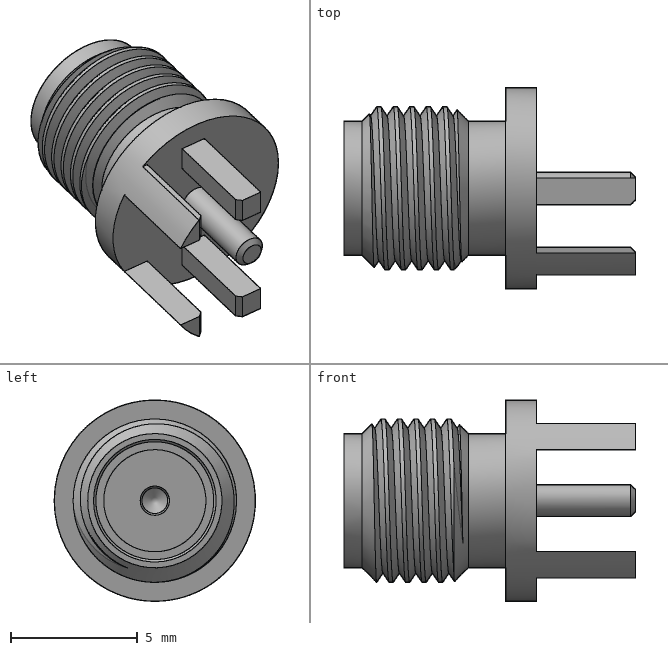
import cadquery as cq
import math


thread_start = 0.71
thread_end = 4.91
flange_front = 6.37
flange_back = 7.6
length = 11.5

sleeve_radius = 2.65
crest_radius = 3.22
flange_radius = 3.97
end_taper = crest_radius - sleeve_radius

pitch = 0.65
crest_flat = 0.16
root_radius = 2.86
cutter_overlap = 0.06
groove_start = 0.891
groove_turns = 6

bore_radius = 2.32
bore_depth = 1.98
mouth_chamfer = 0.09
insulator_radius = 2.01
insulator_recess = 0.07
contact_radius = 0.51
contact_chamfer = 0.07
contact_depth = 2.0
drill_half_angle = math.radians(59)

pin_radius = 0.63
tip_chamfer = 0.2
leg_inner_z = 2.0
leg_outer_z = 3.05
front_leg_inner_y = -2.32
rear_leg_inner_y = -0.65
rear_leg_outer_y = 0.41


def revolve_profile(points):
    """Revolve (x, radius) points about the X axis."""
    return cq.Workplane("XY").polyline(points).close().revolve(360, (0, 0, 0), (1, 0, 0))


def make_body():
    return revolve_profile([
        (0, 0),
        (0, sleeve_radius),
        (thread_start, sleeve_radius),
        (thread_start + end_taper, crest_radius),
        (thread_end - end_taper, crest_radius),
        (thread_end, sleeve_radius),
        (flange_front, sleeve_radius),
        (flange_front, flange_radius),
        (flange_back, flange_radius),
        (flange_back, 0),
    ])


def make_groove_turn():
    """Sweep a V along one turn of the thread helix."""
    half_width = (pitch - crest_flat) / 2
    slope = half_width / (crest_radius - root_radius)
    outer_radius = crest_radius + cutter_overlap
    outer_half_width = half_width + slope * cutter_overlap
    helix = cq.Wire.makeHelix(pitch, pitch, root_radius)
    groove = (
        cq.Workplane("XZ")
        .polyline([
            (root_radius, 0),
            (outer_radius, outer_half_width),
            (outer_radius, -outer_half_width),
        ])
        .close()
        .sweep(cq.Workplane(helix), isFrenet=True)
    )
    return groove.rotate((0, 0, 0), (0, 1, 0), 90).translate((groove_start, 0, 0))


def make_socket():
    """Bore with a stepped floor and a drilled centre contact."""
    floor = bore_depth + insulator_recess
    contact_bottom = floor + contact_depth
    drill_tip = contact_bottom + contact_radius / math.tan(drill_half_angle)
    return revolve_profile([
        (0, 0),
        (0, bore_radius + mouth_chamfer),
        (mouth_chamfer, bore_radius),
        (bore_depth, bore_radius),
        (bore_depth, insulator_radius),
        (floor, insulator_radius),
        (floor, contact_radius + contact_chamfer),
        (floor + contact_chamfer, contact_radius),
        (contact_bottom, contact_radius),
        (drill_tip, 0),
    ])


def make_pin():
    return revolve_profile([
        (flange_front, 0),
        (flange_front, pin_radius),
        (length - tip_chamfer, pin_radius),
        (length, pin_radius - tip_chamfer),
        (length, 0),
    ])


def make_leg_pair(outline):
    """Extrude an (x, y) outline into matching legs above and below the axis."""
    upper = (
        cq.Workplane("XY", origin=(0, 0, leg_inner_z))
        .polyline(outline)
        .close()
        .extrude(leg_outer_z - leg_inner_z)
    )
    return upper.union(upper.mirror("XY"))


def make_front_legs():
    """Legs whose outer faces follow the flange rim."""
    legs = make_leg_pair([
        (flange_front, front_leg_inner_y),
        (length - tip_chamfer, front_leg_inner_y),
        (length, front_leg_inner_y - tip_chamfer),
        (length, -flange_radius),
        (flange_front, -flange_radius),
    ])
    rim = cq.Workplane("YZ", origin=(flange_front, 0, 0)).circle(flange_radius)
    return legs.intersect(rim.extrude(length - flange_front))


def make_rear_legs():
    """Straight legs facing the front pair across the board slot."""
    return make_leg_pair([
        (flange_front, rear_leg_inner_y),
        (length - tip_chamfer, rear_leg_inner_y),
        (length, rear_leg_inner_y + tip_chamfer),
        (length, rear_leg_outer_y),
        (flange_front, rear_leg_outer_y),
    ])


def cut_thread(blank):
    """Cut the groove turn by turn; it runs out through the tapered thread ends."""
    groove_turn = make_groove_turn()
    for turn in range(groove_turns):
        blank = blank.cut(groove_turn.translate((turn * pitch, 0, 0)))
    return blank


body = cut_thread(make_body()).cut(make_socket())
result = body.union(make_pin()).union(make_front_legs()).union(make_rear_legs())